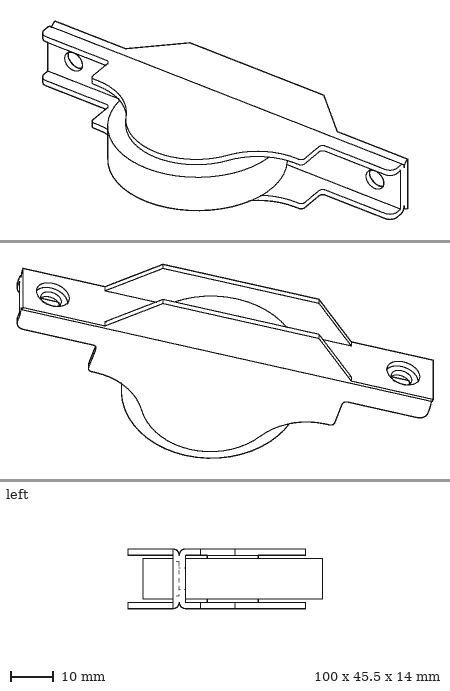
import cadquery as cq
import math

length = 100.0
height = 14.0
sheet = 1.5
seam_y = 12.5
bend_radius = sheet
half_length = length / 2
web_front_y = seam_y - sheet
web_back_y = seam_y + sheet

rail_edge_y = 7.5
rail_corner_radius = 2.0
shoulder_half_width = 30.0
shoulder_y = -0.5
shoulder_radius = 1.0
lobe_radius = 16.5
lobe_tip_y = -17.0
neck_radius = 15.5

rear_edge_y = 24.5
rear_half_width = 19.0

wheel_radius = 21.0
wheel_width = 9.5
spacer_radius = 6.0
front_hole_diameter = 5.0
rear_hole_diameter = 8.0
hole_x = 42.7


def front_sheet_outline():
    """Full front sheet outline, from its web to the round lobe over the wheel."""
    lobe_y = lobe_tip_y + lobe_radius
    neck_y = shoulder_y - neck_radius
    neck_drop = lobe_y - neck_y
    center_distance = lobe_radius + neck_radius
    neck_x = math.sqrt(center_distance**2 - neck_drop**2)
    joint_x = neck_x * lobe_radius / center_distance
    joint_y = lobe_y - neck_drop * lobe_radius / center_distance
    mid_angle = (math.pi / 2 + math.atan2(neck_drop, -neck_x)) / 2
    mid_x = neck_x + neck_radius * math.cos(mid_angle)
    mid_y = neck_y + neck_radius * math.sin(mid_angle)
    return (
        cq.Workplane("XY", origin=(0, 0, -height / 2))
        .moveTo(-half_length, seam_y)
        .lineTo(half_length, seam_y)
        .lineTo(half_length, rail_edge_y)
        .lineTo(shoulder_half_width, rail_edge_y)
        .lineTo(shoulder_half_width, shoulder_y)
        .lineTo(neck_x, shoulder_y)
        .threePointArc((mid_x, mid_y), (joint_x, joint_y))
        .threePointArc((0, lobe_tip_y), (-joint_x, joint_y))
        .threePointArc((-mid_x, mid_y), (-neck_x, shoulder_y))
        .lineTo(-shoulder_half_width, shoulder_y)
        .lineTo(-shoulder_half_width, rail_edge_y)
        .lineTo(-half_length, rail_edge_y)
        .close()
    )


def vertical_edges_at(half_width, y):
    """Select the mirrored pair of vertical edges at X = +/- half_width."""
    reach = 0.1
    selector = None
    for x in (-half_width, half_width):
        box = cq.selectors.BoxSelector(
            (x - reach, y - reach, -height), (x + reach, y + reach, height)
        )
        selector = box if selector is None else selector + box
    return selector


def folded_sheet(blank, web_y, flange_direction):
    """Hollow a solid blank into a C-channel and round its two outer bends."""
    envelope = (
        cq.Workplane("XY")
        .box(2 * length, length, height)
        .translate((0, seam_y + flange_direction * length / 2, 0))
        .edges("|X and >Y" if flange_direction < 0 else "|X and <Y")
        .fillet(bend_radius)
    )
    cavity = (
        cq.Workplane("XY")
        .box(2 * length, length, height - 2 * sheet)
        .translate((0, web_y + flange_direction * length / 2, 0))
    )
    return blank.intersect(envelope).cut(cavity)


def front_sheet():
    blank = front_sheet_outline().extrude(height)
    rounded_corners = (
        (half_length, rail_edge_y, rail_corner_radius),
        (shoulder_half_width, rail_edge_y, shoulder_radius),
        (shoulder_half_width, shoulder_y, shoulder_radius),
    )
    for x, y, radius in rounded_corners:
        blank = blank.edges("|Z").edges(vertical_edges_at(x, y)).fillet(radius)
    return folded_sheet(blank, web_front_y, -1)


def rear_sheet():
    outline = [
        (-half_length, seam_y),
        (half_length, seam_y),
        (half_length, web_back_y),
        (shoulder_half_width, web_back_y),
        (rear_half_width, rear_edge_y),
        (-rear_half_width, rear_edge_y),
        (-shoulder_half_width, web_back_y),
        (-half_length, web_back_y),
    ]
    blank = (
        cq.Workplane("XY", origin=(0, 0, -height / 2))
        .polyline(outline)
        .close()
        .extrude(height)
    )
    return folded_sheet(blank, web_back_y, 1)


def disc(radius, width):
    return cq.Workplane("XY", origin=(0, 0, -width / 2)).circle(radius).extrude(width)


def drill(body, diameter):
    """Cut the pair of mounting holes through the web of one sheet."""
    holes = (
        cq.Workplane("XZ", origin=(0, web_back_y, 0))
        .pushPoints([(-hole_x, 0), (hole_x, 0)])
        .circle(diameter / 2)
        .extrude(2 * sheet)
    )
    return body.cut(holes)


front = drill(front_sheet(), front_hole_diameter)
rear = drill(rear_sheet(), rear_hole_diameter)
bracket = front.union(rear)
wheel = disc(wheel_radius, wheel_width)
spacers = disc(spacer_radius, height - 2 * sheet)
result = bracket.union(wheel).union(spacers)